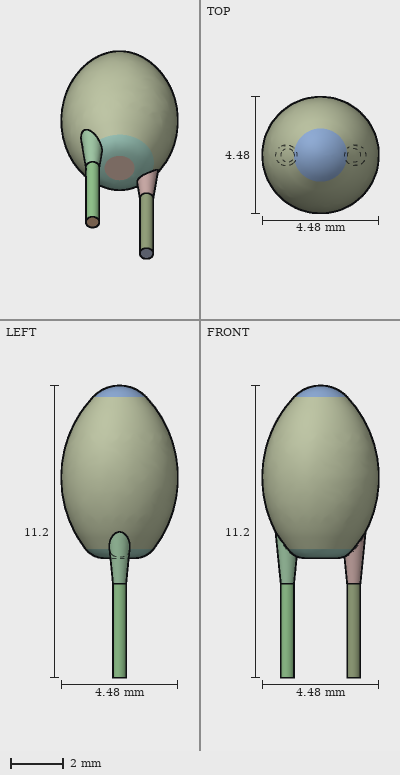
import cadquery as cq
import math

total_height = 11.19
bead_radius = 2.24
bead_bottom = 4.57
widest_height = 7.67
side_arc_radius = 4.51
bottom_round_radius = 0.93

lead_pitch = 2.54
lead_radius = 0.26
lead_length = 3.59
collar_top_radius = 0.5
collar_top = 6.04

side_center_x = bead_radius - side_arc_radius

cap_rise = total_height - widest_height
cap_radius = (side_arc_radius**2 - side_center_x**2 - cap_rise**2) / (2 * (side_arc_radius - cap_rise))


def arc_point(center, radius, angle):
    """Point (x, z) on a circle, with the angle measured from +X."""
    return (center[0] + radius * math.cos(angle), center[1] + radius * math.sin(angle))


def make_bead():
    """Solid of revolution with a domed top, an arched side and a rounded flat bottom."""
    cap_center = (0, total_height - cap_radius)
    cap_angle = math.atan2(cap_center[1] - widest_height, -side_center_x)
    cap_rim = arc_point(cap_center, cap_radius, cap_angle)
    cap_middle = arc_point(cap_center, cap_radius, (cap_angle + math.pi / 2) / 2)

    round_center_z = bead_bottom + bottom_round_radius
    center_distance = side_arc_radius - bottom_round_radius
    round_angle = math.asin((round_center_z - widest_height) / center_distance)
    round_center = (side_center_x + center_distance * math.cos(round_angle), round_center_z)
    round_rim = arc_point(round_center, bottom_round_radius, round_angle)
    round_middle = arc_point(round_center, bottom_round_radius, (round_angle - math.pi / 2) / 2)

    return (
        cq.Workplane("XZ")
        .moveTo(0, bead_bottom)
        .lineTo(round_center[0], bead_bottom)
        .threePointArc(round_middle, round_rim)
        .threePointArc((bead_radius, widest_height), cap_rim)
        .threePointArc(cap_middle, (0, total_height))
        .close()
        .revolve(360, (0, 0), (0, 1))
    )


def make_lead(x):
    """Straight round wire standing on Z = 0."""
    return cq.Workplane("XY").center(x, 0).circle(lead_radius).extrude(lead_length)


def make_collar(x, bead):
    """Cone that widens upward from the lead and ends on the bead's surface."""
    cone = (
        cq.Workplane("XY", origin=(x, 0, lead_length))
        .circle(lead_radius)
        .workplane(offset=collar_top - lead_length)
        .circle(collar_top_radius)
        .loft()
    )
    return cone.cut(bead)


bead = make_bead()
leads = []
collars = []
for side in (-1, 1):
    lead_x = side * lead_pitch / 2
    leads.append(make_lead(lead_x))
    collars.append(make_collar(lead_x, bead))

result = cq.Compound.makeCompound(
    [bead.val()]
    + [collar.solids().val() for collar in collars]
    + [lead.val() for lead in leads]
)